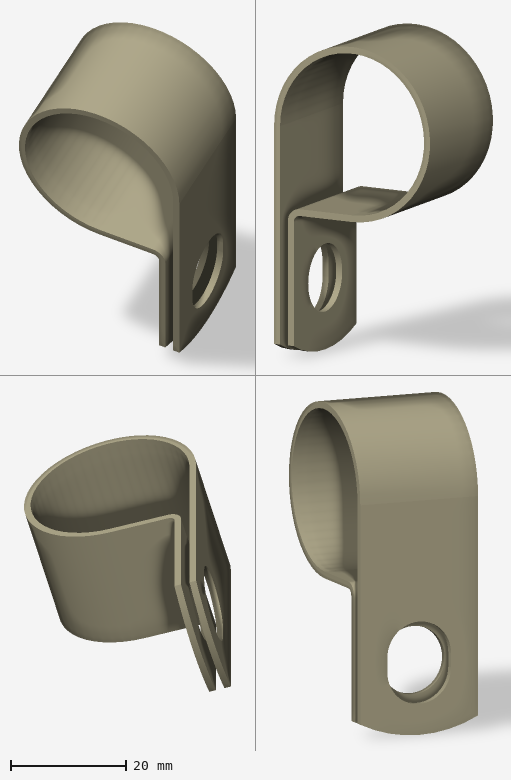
import cadquery as cq
import math

height = 56.8
width = 22.25
loop_radius = 15.5
thickness = 1.2
tab_gap = 1.55
bend_inner_radius = 1.2
hole_diameter = 12.05
slot_length = 14.55
hole_height = 12.7
tip_rise = 2.6

bore_radius = loop_radius - thickness
bend_outer_radius = bend_inner_radius + thickness
bottom = loop_radius - height
tab_outer_x = bore_radius - tab_gap
tab_inner_x = tab_outer_x - thickness
bend_x = tab_outer_x - bend_outer_radius
bend_z = -bore_radius - bend_outer_radius
diagonal = math.sqrt(0.5)


def bent_strap():
    """Constant-thickness strap: long tab, loop, bend and short tab."""
    profile = (
        cq.Workplane("XZ")
        .moveTo(loop_radius, bottom)
        .lineTo(loop_radius, 0)
        .threePointArc((-loop_radius * diagonal, loop_radius * diagonal), (0, -loop_radius))
        .lineTo(bend_x, -loop_radius)
        .threePointArc(
            (bend_x + bend_inner_radius * diagonal, bend_z + bend_inner_radius * diagonal),
            (tab_inner_x, bend_z),
        )
        .lineTo(tab_inner_x, bottom)
        .lineTo(tab_outer_x, bottom)
        .lineTo(tab_outer_x, bend_z)
        .threePointArc(
            (bend_x + bend_outer_radius * diagonal, bend_z + bend_outer_radius * diagonal),
            (bend_x, -bore_radius),
        )
        .lineTo(0, -bore_radius)
        .threePointArc((-bore_radius * diagonal, bore_radius * diagonal), (bore_radius, 0))
        .lineTo(bore_radius, bottom)
        .close()
    )
    return profile.extrude(width / 2, both=True)


def tab_outline():
    """Side silhouette of the strap with a rounded lower end."""
    return (
        cq.Workplane("YZ")
        .moveTo(-width / 2, loop_radius)
        .lineTo(-width / 2, bottom + tip_rise)
        .threePointArc((0, bottom), (width / 2, bottom + tip_rise))
        .lineTo(width / 2, loop_radius)
        .close()
        .extrude(loop_radius, both=True)
    )


def bolt_hole():
    """Round hole through both tabs."""
    return (
        cq.Workplane("YZ")
        .center(0, bottom + hole_height)
        .circle(hole_diameter / 2)
        .extrude(loop_radius)
    )


def adjustment_slot():
    """Upright slot through the long tab only, centred on the bolt hole."""
    return (
        cq.Workplane("YZ", origin=(bore_radius, 0, bottom + hole_height))
        .slot2D(slot_length, hole_diameter, 90)
        .extrude(thickness)
    )


result = bent_strap().intersect(tab_outline()).cut(bolt_hole()).cut(adjustment_slot())